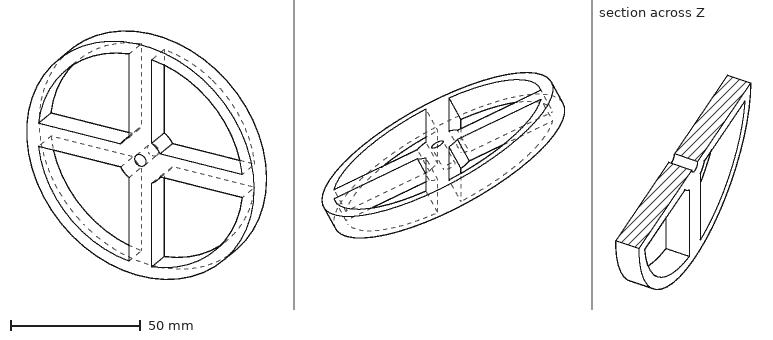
import cadquery as cq

outer_diameter = 100.0
rim_thickness = 5.0
width = 10.0
spoke_width = 10.0
hub_diameter = 20.0
bore_diameter = 5.0

inner_diameter = outer_diameter - 2 * rim_thickness


def disc(diameter):
    """Disc about the Y axis, centred on the origin."""
    return cq.Workplane("XZ", origin=(0, width / 2, 0)).circle(diameter / 2).extrude(width)


spoke_along_x = cq.Workplane("XY").box(outer_diameter, width, spoke_width)
spoke_along_z = cq.Workplane("XY").box(spoke_width, width, outer_diameter)
windows = disc(inner_diameter).cut(spoke_along_x).cut(spoke_along_z).cut(disc(hub_diameter))

result = disc(outer_diameter).cut(windows).cut(disc(bore_diameter))